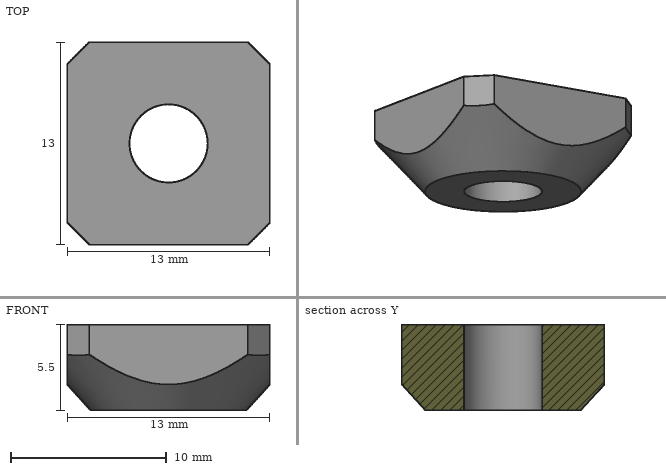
import cadquery as cq
import math

side = 13.0
height = 5.5
corner_face_width = 2.0
corner_cut = corner_face_width / math.sqrt(2)

hole_diameter = 5.0

cone_bottom_radius = 5.0
cone_top_radius = 10.0


def bevelled_block():
    block = cq.Workplane("XY").rect(side, side).extrude(height)
    return block.edges("|Z").chamfer(corner_cut)


def cone_envelope():
    half_section = [
        (0, 0),
        (-cone_bottom_radius, 0),
        (-cone_top_radius, height),
        (0, height),
    ]
    return cq.Workplane("XZ").polyline(half_section).close().revolve(360, (0, 0), (0, 1))


def through_hole():
    return cq.Workplane("XY").circle(hole_diameter / 2).extrude(height)


result = bevelled_block().intersect(cone_envelope()).cut(through_hole())